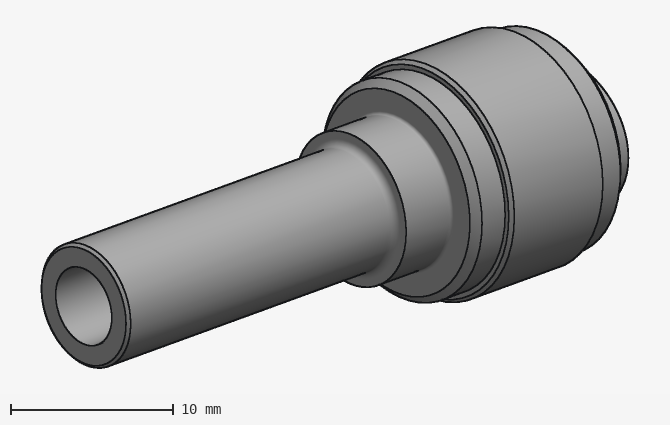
import cadquery as cq

total_length = 40.6

stem_radius = 4.0
tip_chamfer = 0.2
bore_radius = 2.5
stem_root_fillet = 0.5

neck_radius = 5.0
neck_start = 22.55
neck_root_fillet = 0.2

front_collar_radius = 7.2
front_collar_start = 26.35
collar_chamfer = 0.53
sleeve_radius = 7.75
sleeve_start = 28.83
sleeve_end = 36.55
sleeve_chamfer = 0.25
rear_collar_radius = 7.3
rear_collar_end = 38.98

collet_width = 11.7
collet_height = 10.0
collet_edge_fillet = 0.15


def turned_body():
    """Revolve the stepped half profile about the Y axis."""
    profile = (
        cq.Workplane("XY")
        .moveTo(0, 0)
        .lineTo(stem_radius - tip_chamfer, 0)
        .lineTo(stem_radius, tip_chamfer)
        .lineTo(stem_radius, neck_start - stem_root_fillet)
        .radiusArc((stem_radius + stem_root_fillet, neck_start), stem_root_fillet)
        .lineTo(neck_radius, neck_start)
        .lineTo(neck_radius, front_collar_start - neck_root_fillet)
        .radiusArc((neck_radius + neck_root_fillet, front_collar_start), neck_root_fillet)
        .lineTo(front_collar_radius - collar_chamfer, front_collar_start)
        .lineTo(front_collar_radius, front_collar_start + collar_chamfer)
        .lineTo(front_collar_radius, sleeve_start)
        .lineTo(sleeve_radius - sleeve_chamfer, sleeve_start)
        .lineTo(sleeve_radius, sleeve_start + sleeve_chamfer)
        .lineTo(sleeve_radius, sleeve_end)
        .lineTo(rear_collar_radius, sleeve_end)
        .lineTo(rear_collar_radius, rear_collar_end - collar_chamfer)
        .lineTo(rear_collar_radius - collar_chamfer, rear_collar_end)
        .lineTo(0, rear_collar_end)
        .close()
    )
    return profile.revolve(360, (0, 0, 0), (0, 1, 0))


def collet():
    """Elliptical flange standing on the rear collar, its outer rim rounded."""
    return (
        cq.Workplane("XZ", origin=(0, total_length, 0))
        .ellipse(collet_width / 2, collet_height / 2)
        .extrude(total_length - rear_collar_end)
        .faces(">Y")
        .edges()
        .fillet(collet_edge_fillet)
    )


def through_bore():
    return cq.Workplane("XZ").circle(bore_radius).extrude(-total_length)


result = turned_body().union(collet()).cut(through_bore())